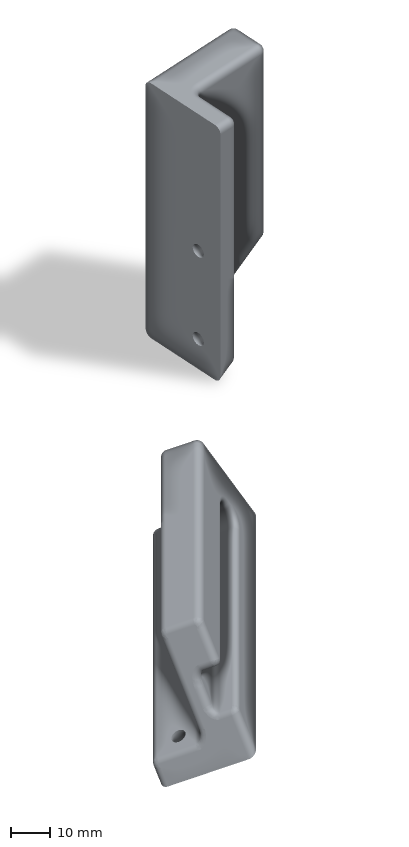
import cadquery as cq
import math

width = 27.0
depth = 31.5
height = 84.98
arm_thickness = 12.0
plate_thickness = 6.0
bottom_angle = 34.6

edge_radius = 2.0
inner_corner_radius = 2.0

groove_center_y = 15.0
groove_width = 8.5
groove_depth = 6.5
groove_top_z = height - 11.0
groove_corner_radius = 3.5
groove_edge_radius = 1.5

hole_diameter = 4.0
hole_x = 19.0
hole_heights = (10.0, 39.4)


def make_bracket():
    """L-shaped column with a sloped bottom face."""
    column = (
        cq.Workplane("XY")
        .polyline([
            (0, 0),
            (width, 0),
            (width, plate_thickness),
            (arm_thickness, plate_thickness),
            (arm_thickness, depth),
            (0, depth),
        ])
        .close()
        .extrude(height)
    )
    bottom_rise = depth * math.tan(math.radians(bottom_angle))
    wedge = (
        cq.Workplane("YZ")
        .polyline([(0, 0), (depth, 0), (depth, bottom_rise)])
        .close()
        .extrude(width)
    )
    return column.cut(wedge)


def round_vertical_edges(body):
    """Round the upright outer edges and the inside corner of the L."""
    inner_corner = cq.selectors.NearestToPointSelector((arm_thickness, plate_thickness, height / 2))
    body = body.edges("|Z").edges(inner_corner).fillet(inner_corner_radius)
    for x, y in ((width, plate_thickness), (arm_thickness, depth), (0, depth)):
        corner = cq.selectors.NearestToPointSelector((x, y, height / 2))
        body = body.edges("|Z").edges(corner).fillet(edge_radius)
    return body


def make_groove():
    """Round-topped groove with a rounded floor."""
    groove = (
        cq.Workplane("XY")
        .box(groove_depth, groove_width, groove_top_z, centered=(False, True, False))
        .translate((0, groove_center_y, 0))
        .edges("|X and >Z")
        .fillet(groove_corner_radius)
    )
    return groove.faces(">X").edges("not <Z").fillet(groove_edge_radius)


def round_end(body, outward):
    """Round the outline of the end face farthest along the outward direction.

    The straight edge shared with the flat mounting face at Y = 0 stays sharp.
    """
    end_face = cq.selectors.DirectionMinMaxSelector(cq.Vector(*outward), True)
    return body.faces(end_face).edges("not <Y").fillet(edge_radius)


def round_groove_rim(body):
    """Round the rim of the groove; the tangent chain carries it over the rounded top."""
    rim_side = cq.selectors.NearestToPointSelector((0, groove_center_y + groove_width / 2, height / 2))
    return body.faces("<X").edges("|Z").edges(rim_side).fillet(groove_edge_radius)


def make_holes():
    """Cylinders for the mounting holes."""
    centers = [(hole_x, z) for z in hole_heights]
    return (
        cq.Workplane("XZ")
        .pushPoints(centers)
        .circle(hole_diameter / 2)
        .extrude(-plate_thickness)
    )


slope = math.radians(bottom_angle)
bottom_outward = (0, math.sin(slope), -math.cos(slope))

body = round_vertical_edges(make_bracket())
body = body.cut(make_groove())
body = round_end(body, (0, 0, 1))
body = round_end(body, bottom_outward)
body = round_groove_rim(body)
result = body.cut(make_holes())